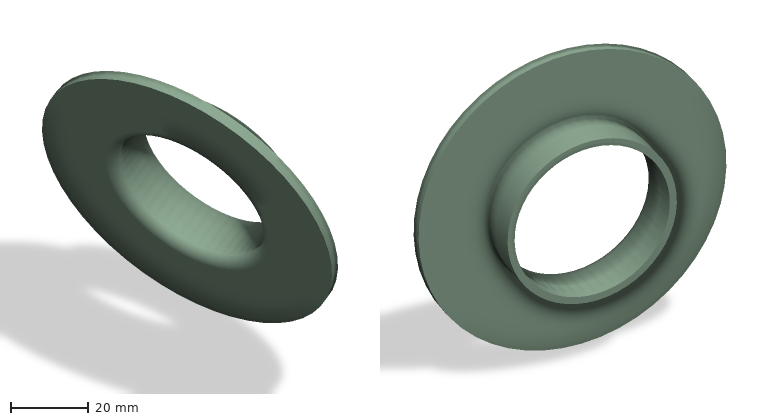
import cadquery as cq

flange_diameter = 88.0
flange_thickness = 3.0
overall_depth = 15.0
collar_diameter = 48.4
bore_diameter = 44.35
mouth_width = 2.8
mouth_depth = 2.4
mouth_radius = 2.8
root_radius = 0.8

flange_radius = flange_diameter / 2
collar_radius = collar_diameter / 2
bore_radius = bore_diameter / 2
front_y = -overall_depth / 2
back_y = overall_depth / 2
flange_back_y = front_y + flange_thickness


def half_section():
    """Radial section in the ZY plane, with Z as the radius."""
    return (
        cq.Workplane("ZY")
        .moveTo(bore_radius + mouth_width, front_y)
        .lineTo(flange_radius, front_y)
        .lineTo(flange_radius, flange_back_y)
        .lineTo(collar_radius + root_radius, flange_back_y)
        .radiusArc((collar_radius, flange_back_y + root_radius), root_radius)
        .lineTo(collar_radius, back_y)
        .lineTo(bore_radius, back_y)
        .lineTo(bore_radius, front_y + mouth_depth)
        .radiusArc((bore_radius + mouth_width, front_y), -mouth_radius)
        .close()
    )


result = half_section().revolve(360, (0, 0, 0), (0, 1, 0))